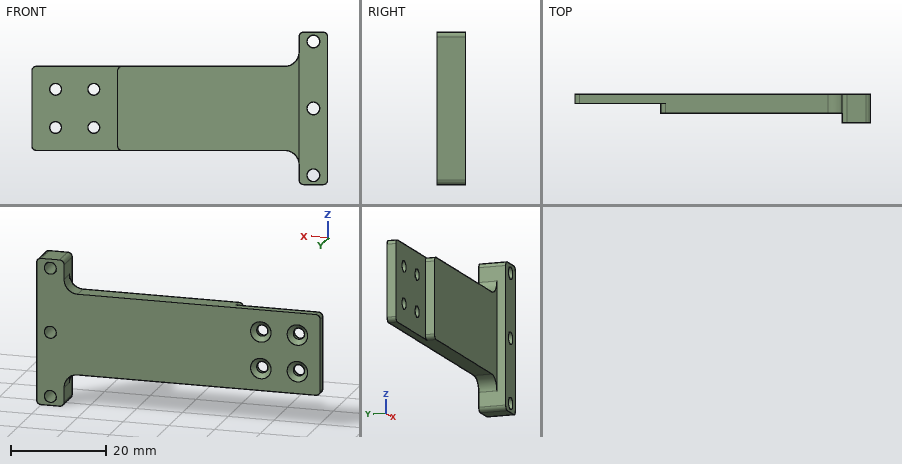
import cadquery as cq

length = 62.0
head_length = 6.0
head_height = 32.0
head_depth = 6.0
arm_height = 17.7
arm_depth = 4.0
tongue_depth = 2.0
tongue_length = 18.0
corner_radius = 1.0
root_radius = 3.0

tongue_hole_diameter = 2.4
countersink_diameter = 4.45
tongue_hole_spacing = 8.0
tongue_hole_center_x = 9.0
head_hole_diameter = 2.6
head_hole_pitch = 14.0

head_start = length - head_length
head_center_x = head_start + head_length / 2


def plate(x_start, x_end, height, depth):
    """Rectangular plate standing on the back face, centred on Z = 0."""
    return (
        cq.Workplane("XZ")
        .center((x_start + x_end) / 2, 0)
        .rect(x_end - x_start, height)
        .extrude(depth)
    )


def holes(points, diameter):
    """Cylinders through the full depth of the part."""
    return cq.Workplane("XZ").pushPoints(points).circle(diameter / 2).extrude(head_depth)


def countersinks(points):
    """Ninety-degree cones opening at the back face and narrowing to the tongue holes."""
    depth = (countersink_diameter - tongue_hole_diameter) / 2
    cones = cq.Workplane("XZ")
    for x, z in points:
        cone = cq.Solid.makeCone(
            countersink_diameter / 2,
            tongue_hole_diameter / 2,
            depth,
            pnt=cq.Vector(x, 0, z),
            dir=cq.Vector(0, -1, 0),
        )
        cones = cones.add(cone)
    return cones.combine()


def root_fillet(side):
    """Concave web between the arm edge and the head; side is +1 (top) or -1 (bottom)."""
    edge_z = side * arm_height / 2
    outer_z = edge_z + side * root_radius
    diagonal = root_radius * 0.5**0.5
    return (
        cq.Workplane("XZ")
        .moveTo(head_start - root_radius, edge_z)
        .threePointArc(
            (head_start - root_radius + diagonal, outer_z - side * diagonal),
            (head_start, outer_z),
        )
        .lineTo(head_start, edge_z)
        .close()
        .extrude(arm_depth)
    )


tongue = plate(0, head_center_x, arm_height, tongue_depth).edges("|Y and <X").fillet(corner_radius)
arm = plate(tongue_length, head_center_x, arm_height, arm_depth).edges("|Y and <X").fillet(corner_radius)
head = plate(head_start, length, head_height, head_depth).edges("|Y").fillet(corner_radius)

body = tongue.union(arm).union(head)
for side in (1, -1):
    body = body.union(root_fillet(side))

half_spacing = tongue_hole_spacing / 2
tongue_points = [
    (tongue_hole_center_x + sx * half_spacing, sz * half_spacing)
    for sx in (-1, 1)
    for sz in (-1, 1)
]
head_points = [(head_center_x, row * head_hole_pitch) for row in (-1, 0, 1)]

result = (
    body.cut(holes(tongue_points, tongue_hole_diameter))
    .cut(countersinks(tongue_points))
    .cut(holes(head_points, head_hole_diameter))
)